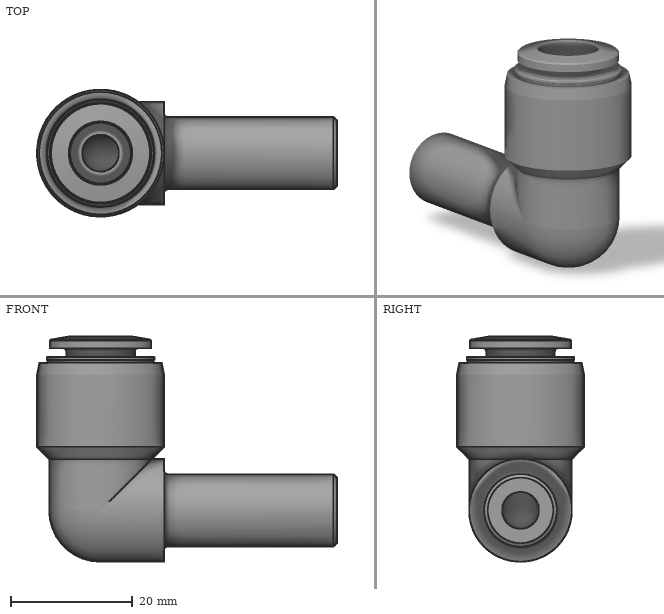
import cadquery as cq

overall_length = 49.5
body_diameter = 21.0
elbow_diameter = 17.0
stem_diameter = 12.0
flange_diameter = 16.8
collar_diameter = 17.8
neck_diameter = 11.4
socket_diameter = 10.0
bore_diameter = 6.1

body_radius = body_diameter / 2
elbow_radius = elbow_diameter / 2
stem_radius = stem_diameter / 2
flange_radius = flange_diameter / 2
collar_radius = collar_diameter / 2
neck_radius = neck_diameter / 2
socket_radius = socket_diameter / 2
bore_radius = bore_diameter / 2

overall_height = 37.15
body_height = 13.85
body_taper_height = 1.95
body_taper_inset = 0.4
collar_height = 1.05
collar_bevel = 0.15
collar_rim_height = 0.65
neck_gap = 1.35
neck_fillet = 0.4
flange_height = 2.0
flange_crown = 0.5
flange_chamfer = 0.25
mouth_chamfer = 0.25
stem_fillet = 0.55
stem_chamfer = 0.6

top_z = overall_height - elbow_radius
flange_bottom_z = top_z - flange_height
collar_top_z = flange_bottom_z - neck_gap
body_top_z = collar_top_z - collar_height
rim_bottom_z = collar_top_z - collar_rim_height
cone_top_z = body_top_z - body_height
cone_bottom_z = cone_top_z - (body_radius - elbow_radius)
socket_floor_z = cone_top_z
elbow_end_x = body_radius
stem_end_x = overall_length - body_radius


def make_socket_body():
    """Elbow leg, body, collar and release ring turned about Z."""
    collar_edge_radius = collar_radius - collar_bevel
    mouth_radius = socket_radius + mouth_chamfer
    flange_edge_z = top_z - flange_crown
    return (
        cq.Workplane("XZ")
        .lineTo(elbow_radius, 0)
        .lineTo(elbow_radius, cone_bottom_z)
        .lineTo(body_radius, cone_top_z)
        .lineTo(body_radius, body_top_z - body_taper_height)
        .lineTo(body_radius - body_taper_inset, body_top_z)
        .lineTo(collar_edge_radius, body_top_z)
        .lineTo(collar_edge_radius, rim_bottom_z)
        .lineTo(collar_radius, rim_bottom_z + collar_bevel)
        .lineTo(collar_radius, collar_top_z - collar_bevel)
        .lineTo(collar_edge_radius, collar_top_z)
        .lineTo(neck_radius, collar_top_z)
        .lineTo(neck_radius, flange_bottom_z - neck_fillet)
        .radiusArc((neck_radius + neck_fillet, flange_bottom_z), neck_fillet)
        .lineTo(flange_radius, flange_bottom_z)
        .lineTo(flange_radius, flange_edge_z - flange_chamfer)
        .lineTo(flange_radius - flange_chamfer, flange_edge_z)
        .lineTo(mouth_radius, top_z)
        .lineTo(0, top_z)
        .close()
        .revolve(360, (0, 0, 0), (0, 1, 0))
    )


def make_elbow_arm_and_stem():
    """Horizontal elbow leg and stem turned about X."""
    fillet_radius = stem_radius + stem_fillet
    return (
        cq.Workplane("XZ")
        .lineTo(0, elbow_radius)
        .lineTo(elbow_end_x, elbow_radius)
        .lineTo(elbow_end_x, fillet_radius)
        .radiusArc((elbow_end_x + stem_fillet, stem_radius), -stem_fillet)
        .lineTo(stem_end_x - stem_chamfer, stem_radius)
        .lineTo(stem_end_x, stem_radius - stem_chamfer)
        .lineTo(stem_end_x, 0)
        .close()
        .revolve(360, (0, 0, 0), (1, 0, 0))
    )


def make_passage():
    """Stepped socket, rounded inner elbow and open stem bore."""
    vertical = (
        cq.Workplane("XZ")
        .lineTo(bore_radius, 0)
        .lineTo(bore_radius, socket_floor_z)
        .lineTo(socket_radius, socket_floor_z)
        .lineTo(socket_radius, top_z - mouth_chamfer)
        .lineTo(socket_radius + mouth_chamfer, top_z)
        .lineTo(0, top_z)
        .close()
        .revolve(360, (0, 0, 0), (0, 1, 0))
    )
    horizontal = cq.Workplane("YZ").circle(bore_radius).extrude(stem_end_x)
    return vertical.union(horizontal).union(cq.Workplane("XY").sphere(bore_radius))


outside = (
    make_socket_body()
    .union(make_elbow_arm_and_stem())
    .union(cq.Workplane("XY").sphere(elbow_radius))
)
result = outside.cut(make_passage())